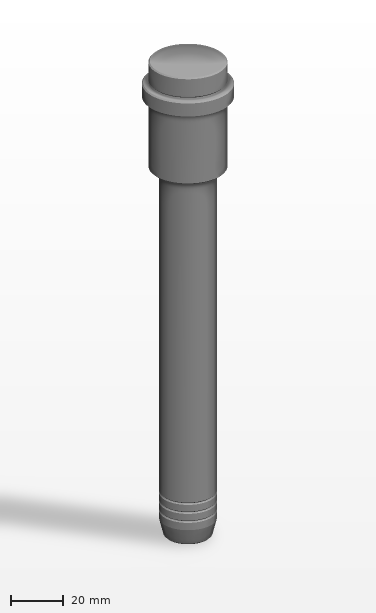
import cadquery as cq

total_length = 200.0
head_radius = 15.0
collar_radius = 17.5
rod_radius = 11.0

head_bottom = 155.0
collar_bottom = 185.0
collar_top = 191.0
edge_chamfer = 0.5

relief_depth = 0.5

neck_radius = 10.0
neck_slope_height = 1.0

tip_radius = 9.5
tip_height = 7.0
tip_chamfer = 0.5

groove_count = 3
groove_pitch = 3.8
first_groove_height = 10.5
groove_depth = 0.5


def cylinder(radius, bottom, top):
    """Cylinder on the Z axis between two heights."""
    return cq.Workplane("XY").workplane(offset=bottom).circle(radius).extrude(top - bottom)


def vee_groove(surface_radius, center_height, depth):
    """Ring of diamond section that cuts a 90 degree V-groove into a cylinder."""
    section = [
        (surface_radius - depth, center_height),
        (surface_radius, center_height + depth),
        (surface_radius + depth, center_height),
        (surface_radius, center_height - depth),
    ]
    return cq.Workplane("XZ").polyline(section).close().revolve(360, (0, 0), (0, 1))


def make_rod():
    """Rod with a sloped neck, tapered tip and ring grooves."""
    profile = [
        (0, 0),
        (tip_radius - tip_chamfer, 0),
        (tip_radius, tip_chamfer),
        (rod_radius, tip_height),
        (rod_radius, head_bottom - neck_slope_height),
        (neck_radius, head_bottom),
        (0, head_bottom),
    ]
    rod = cq.Workplane("XZ").polyline(profile).close().revolve(360, (0, 0), (0, 1))
    for index in range(groove_count):
        center_height = first_groove_height + index * groove_pitch
        rod = rod.cut(vee_groove(rod_radius, center_height, groove_depth))
    return rod


def make_head():
    """Head with chamfered ends and a collar between two relief grooves."""
    head = cylinder(head_radius, head_bottom, total_length).edges().chamfer(edge_chamfer)
    for center_height in (collar_bottom - relief_depth, collar_top + relief_depth):
        head = head.cut(vee_groove(head_radius, center_height, relief_depth))
    collar = cylinder(collar_radius, collar_bottom, collar_top).faces(">Z").edges().chamfer(edge_chamfer)
    return head.union(collar)


result = make_rod().union(make_head())